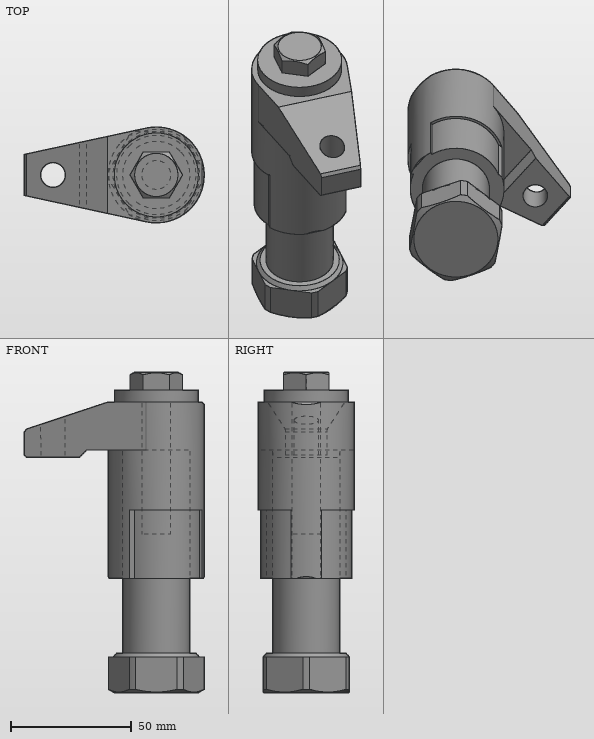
import cadquery as cq
import math


hex_base_top = 15.0
post_collar_top = 16.5
hook_bottom = 47.6
relief_top = 76.0
arm_bottom = 101.0
hook_top = 121.0
flange_thickness = 5.0
bolt_head_height = 7.5

sleeve_radius = 20.0
arm_reach = 55.0
arm_taper_angle = math.radians(12.2)
arm_slope_start = 20.3
arm_tip_top = 109.5
pad_bottom = 98.0
pad_length = 23.0
arm_chamfer = 1.0
bottom_chamfer = 0.4
bottom_chamfer_height = 0.8
arm_hole_diameter = 10.2
arm_hole_x = -43.0

relief_radius = 19.0
relief_wall_y = 16.65
relief_end_angle = math.radians(18.5)
cutter_overhang = 1.0

post_diameter = 28.0
post_collar_diameter = 36.0
post_collar_taper = 45
base_across_flats = 36.0
base_turned_diameter = 40.0
base_chamfer_diameter = 35.0

thread_diameter = 12.0
bolt_length = 60.0
flange_diameter = 35.0
head_across_flats = 19.0
head_chamfer_diameter = 18.0

hex_chamfer_angle = math.radians(30)
flange_top = hook_top + flange_thickness
bolt_bottom = flange_top - bolt_length


def across_corners(across_flats):
    """Corner-to-corner width of a hexagon."""
    return across_flats / math.cos(math.pi / 6)


def hex_prism(across_flats, height):
    """Hexagonal prism standing on Z = 0, with two corners on the X axis."""
    return cq.Workplane("XY").polygon(6, across_corners(across_flats)).extrude(height)


def turned_blank(outer_radius, end_radius, height):
    """Cylinder standing on Z = 0 whose upper edge is turned to a shallow cone."""
    cone_height = (outer_radius - end_radius) * math.tan(hex_chamfer_angle)
    half_section = [
        (0, 0),
        (outer_radius, 0),
        (outer_radius, height - cone_height),
        (end_radius, height),
        (0, height),
    ]
    return cq.Workplane("XZ").polyline(half_section).close().revolve(360, (0, 0), (0, 1))


def cylinder(diameter, bottom, top):
    """Cylinder on the common axis between two levels."""
    return cq.Workplane("XY").workplane(offset=bottom).circle(diameter / 2).extrude(top - bottom)


def make_bolt():
    head_corner_radius = across_corners(head_across_flats) / 2
    head_blank = turned_blank(head_corner_radius, head_chamfer_diameter / 2, bolt_head_height)
    head = hex_prism(head_across_flats, bolt_head_height).intersect(head_blank)
    flange = cylinder(flange_diameter, hook_top, flange_top)
    shank = cylinder(thread_diameter, bolt_bottom, flange_top)
    return shank.union(flange).union(head.translate((0, 0, flange_top)))


def make_post():
    base_blank = turned_blank(base_turned_diameter / 2, base_chamfer_diameter / 2, hex_base_top)
    base = hex_prism(base_across_flats, hex_base_top).intersect(base_blank)
    base = base.rotate((0, 0, 0), (1, 0, 0), 180).translate((0, 0, hex_base_top))
    collar_height = post_collar_top - hex_base_top
    collar_sketch = cq.Workplane("XY").workplane(offset=hex_base_top).circle(post_collar_diameter / 2)
    collar = collar_sketch.extrude(collar_height, taper=post_collar_taper)
    column = cylinder(post_diameter, hex_base_top, arm_bottom)
    bolt_hole = cylinder(thread_diameter, bolt_bottom, arm_bottom)
    return base.union(collar).union(column).cut(bolt_hole)


def hook_plan():
    """Plan outline: round end with two straight sides tangent to it."""
    tangent_x = -sleeve_radius * math.sin(arm_taper_angle)
    tangent_y = sleeve_radius * math.cos(arm_taper_angle)
    tip_half_width = tangent_y - (arm_reach + tangent_x) * math.tan(arm_taper_angle)
    return (
        cq.Workplane("XY")
        .workplane(offset=hook_bottom)
        .moveTo(-arm_reach, -tip_half_width)
        .lineTo(tangent_x, -tangent_y)
        .threePointArc((sleeve_radius, 0), (tangent_x, tangent_y))
        .lineTo(-arm_reach, tip_half_width)
        .close()
        .extrude(hook_top - hook_bottom)
    )


def arm_side_profile():
    """Side outline of the arm, with bevelled tip and top corner, across the full width."""
    pad_end_x = pad_length - arm_reach
    slope = (hook_top - arm_tip_top) / (arm_reach - arm_slope_start)
    outline = [
        (-arm_reach, pad_bottom + arm_chamfer),
        (-arm_reach + arm_chamfer, pad_bottom),
        (pad_end_x, pad_bottom),
        (pad_end_x + arm_bottom - pad_bottom, arm_bottom),
        (sleeve_radius, arm_bottom),
        (sleeve_radius, hook_top - arm_chamfer),
        (sleeve_radius - arm_chamfer, hook_top),
        (-arm_slope_start, hook_top),
        (-arm_reach + arm_chamfer, arm_tip_top + slope * arm_chamfer),
        (-arm_reach, arm_tip_top - arm_chamfer),
    ]
    return cq.Workplane("XZ").polyline(outline).close().extrude(sleeve_radius, both=True)


def sleeve():
    """Round sleeve below the arm, bevelled flat at its -X and +X bottom edges."""
    half_width = sleeve_radius - bottom_chamfer
    bevel_top = hook_bottom + bottom_chamfer_height
    side_outline = [
        (-half_width, hook_bottom),
        (half_width, hook_bottom),
        (sleeve_radius, bevel_top),
        (sleeve_radius, arm_bottom),
        (-sleeve_radius, arm_bottom),
        (-sleeve_radius, bevel_top),
    ]
    side = cq.Workplane("XZ").polyline(side_outline).close().extrude(sleeve_radius, both=True)
    return cylinder(2 * sleeve_radius, hook_bottom, arm_bottom).intersect(side)


def flank_relief():
    """Relief on the -Y flank, between a wall parallel to X and a radial wall."""
    cutter_radius = sleeve_radius + cutter_overhang
    wall_inner_x = -math.sqrt(relief_radius**2 - relief_wall_y**2)
    wall_outer_x = -math.sqrt(cutter_radius**2 - relief_wall_y**2)
    end_cos = math.cos(relief_end_angle)
    end_sin = math.sin(relief_end_angle)
    return (
        cq.Workplane("XY")
        .workplane(offset=hook_bottom)
        .moveTo(wall_outer_x, -relief_wall_y)
        .lineTo(wall_inner_x, -relief_wall_y)
        .threePointArc((0, -relief_radius), (relief_radius * end_cos, -relief_radius * end_sin))
        .lineTo(cutter_radius * end_cos, -cutter_radius * end_sin)
        .threePointArc((0, -cutter_radius), (wall_outer_x, -relief_wall_y))
        .close()
        .extrude(relief_top - hook_bottom)
    )


def make_hook():
    hook = hook_plan().intersect(arm_side_profile()).union(sleeve())
    relief = flank_relief()
    for side_relief in (relief, relief.mirror("XZ")):
        hook = hook.cut(side_relief)
    arm_hole = cylinder(arm_hole_diameter, pad_bottom, hook_top).translate((arm_hole_x, 0, 0))
    post_bore = cylinder(post_diameter, hook_bottom, arm_bottom)
    bolt_hole = cylinder(thread_diameter, arm_bottom, hook_top)
    return hook.cut(arm_hole).cut(post_bore).cut(bolt_hole)


bolt = make_bolt()
post = make_post()
hook = make_hook()

result = cq.Compound.makeCompound([bolt.val(), post.val(), hook.val()])